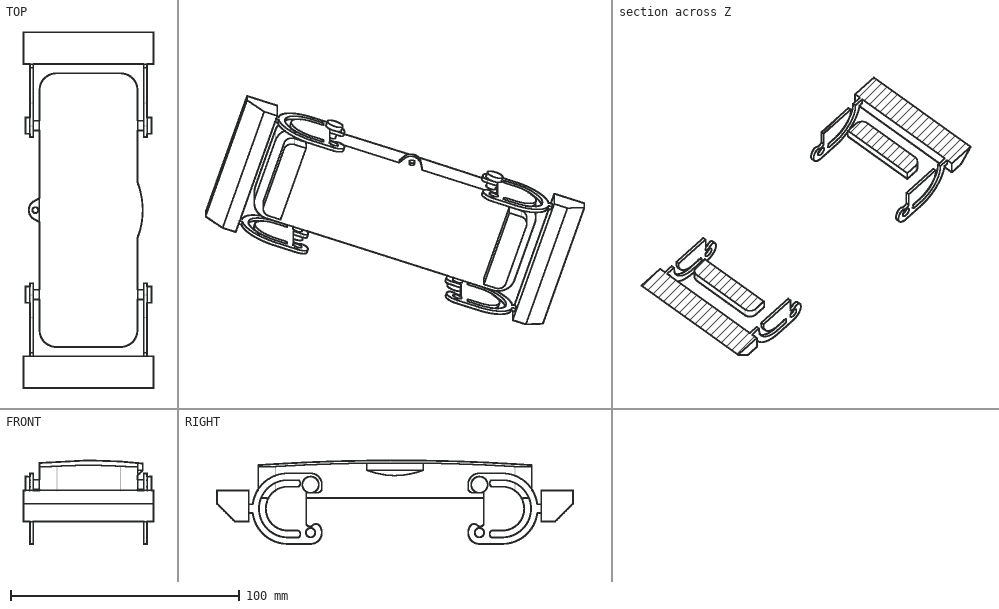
import cadquery as cq
import math

body_width = 43.0
body_length = 120.0
body_corner_radius = 7.5
crown_height = 16.62
crown_radius_x = 200.0
crown_radius_y = 857.0
crown_sweep_angle = 10.0
trim_allowance = 5.0
blank_height = crown_height + trim_allowance

root_overlap = 1.0

plug_inset = 4.0
plug_depth = 8.0
plug_inner_y = 47.0

bulge_radius = 34.0
bulge_reach = 2.3
bulge_chamfer_top = 12.2

eyelet_height = 3.0
eyelet_radius = 4.5
eyelet_center_x = -21.7
eyelet_flank_angle = 30.0
eyelet_hole_x = -23.3
eyelet_hole_radius = 1.25

lever_inner_x = 24.2
lever_thickness = 1.5
arch_center_y = 47.0
arch_center_z = -4.6
arch_radius = 15.5
slot_outer_radius = 12.55
slot_inner_radius = 9.65
slot_end_y = 41.6
slot_corner_radius = 1.0
throat_y = 38.8

pivot_y = 37.0
end_radius = 5.0
pivot_z = arch_center_z + arch_radius - end_radius
upper_end_bottom_z = 2.4
upper_end_fillet = 2.0
hook_z = arch_center_z - arch_radius + end_radius
hook_hole_radius = 2.0
hook_lobe_radius = 2.0
hook_lobe_angle = 38.0
notch_center_y = 37.3
notch_bottom_z = -12.35

shaft_radius = 2.2
head_radius = 3.6
head_outer_x = 27.7

bar_width = 57.0
bar_outer_y = 78.0
bar_inner_y = 64.0
bar_top_z = 3.4
bar_bottom_z = -10.3
bar_slope_start_z = -2.4
bar_bottom_outer_y = bar_outer_y - (bar_slope_start_z - bar_bottom_z)
neck_height = 4.0


def polar(center, radius, degrees):
    """Point at a radius and an angle from a centre, in the plane of the sketch."""
    angle = math.radians(degrees)
    return center[0] + radius * math.cos(angle), center[1] + radius * math.sin(angle)


def mirror_across_y(shape):
    """The shape together with its mirror image across the XZ plane."""
    return shape.union(shape.mirror("XZ"))


def make_bulge():
    """Segment of a chamfered disc that bows out of the +X side."""
    axis_x = body_width / 2 + bulge_reach - bulge_radius
    chamfer_bottom = bulge_chamfer_top - bulge_reach
    wall_radius = bulge_radius - bulge_reach
    profile = [
        (0, chamfer_bottom),
        (wall_radius, chamfer_bottom),
        (bulge_radius, bulge_chamfer_top),
        (bulge_radius, blank_height),
        (0, blank_height),
    ]
    disc = cq.Workplane("XZ").polyline(profile).close().revolve(360, (0, 0), (0, 1))
    disc = disc.translate((axis_x, 0, 0))
    outer_half = cq.Workplane("XY").box(body_width, body_length, blank_height, centered=(False, True, False))
    return disc.intersect(outer_half)


def make_crown():
    """Solid below the curved top: an arc across X, swept along a large arc across Y."""
    half_width = body_width / 2 + trim_allowance
    edge_z = crown_height - crown_radius_x + math.sqrt(crown_radius_x**2 - half_width**2)
    axis_z = crown_height - crown_radius_y
    base_z = -blank_height
    section = (
        cq.Workplane("XZ")
        .moveTo(-half_width, base_z)
        .lineTo(-half_width, edge_z)
        .threePointArc((0, crown_height), (half_width, edge_z))
        .lineTo(half_width, base_z)
        .close()
    )
    crown = section.revolve(crown_sweep_angle, (0, axis_z), (1, axis_z))
    return crown.rotate((0, 0, axis_z), (1, 0, axis_z), -crown_sweep_angle / 2)


def make_body():
    block = cq.Workplane("XY").rect(body_width, body_length).extrude(blank_height)
    block = block.edges("|Z").fillet(body_corner_radius)
    return block.union(make_bulge()).intersect(make_crown())


def make_plug():
    """Plug below the +Y end of the body."""
    plug_outer_y = body_length / 2 - plug_inset
    plug_width = body_width - 2 * plug_inset
    plug = (
        cq.Workplane("XY")
        .center(0, (plug_inner_y + plug_outer_y) / 2)
        .rect(plug_width, plug_outer_y - plug_inner_y)
        .extrude(-plug_depth)
    )
    return plug.edges("|Z and >Y").fillet(body_corner_radius - plug_inset)


def make_eyelet():
    center = (eyelet_center_x, 0)
    root_x = -body_width / 2 + root_overlap
    upper = polar(center, eyelet_radius, 90 + eyelet_flank_angle)
    root_y = upper[1] + (root_x - upper[0]) * math.tan(math.radians(eyelet_flank_angle))
    eyelet = (
        cq.Workplane("XY")
        .moveTo(root_x, root_y)
        .lineTo(*upper)
        .threePointArc(polar(center, eyelet_radius, 180), (upper[0], -upper[1]))
        .lineTo(root_x, -root_y)
        .close()
        .extrude(eyelet_height)
    )
    hole = cq.Workplane("XY").center(eyelet_hole_x, 0).circle(eyelet_hole_radius).extrude(eyelet_height)
    return eyelet.cut(hole)


def arch_outline(radius, end_y):
    """Half disc about the arch centre, extended by straight sides as far as end_y."""
    top_z = arch_center_z + radius
    bottom_z = arch_center_z - radius
    return (
        cq.Workplane("YZ")
        .moveTo(end_y, top_z)
        .lineTo(arch_center_y, top_z)
        .threePointArc((arch_center_y + radius, arch_center_z), (arch_center_y, bottom_z))
        .lineTo(end_y, bottom_z)
        .close()
    )


def make_lever_slot():
    outer = arch_outline(slot_outer_radius, slot_end_y).extrude(lever_thickness)
    inner = arch_outline(slot_inner_radius, slot_end_y).extrude(lever_thickness)
    return outer.cut(inner).edges("|X and <Y").fillet(slot_corner_radius)


def make_lever_outline():
    pivot = (pivot_y, pivot_z)
    hook = (pivot_y, hook_z)
    lobe_direction = 180 - hook_lobe_angle
    lobe = polar(hook, end_radius - hook_lobe_radius, lobe_direction)

    offset_y = notch_center_y - lobe[0]
    rise = notch_bottom_z - lobe[1]
    notch_radius = (offset_y**2 + rise**2 - hook_lobe_radius**2) / (2 * (hook_lobe_radius - rise))
    notch = (notch_center_y, notch_bottom_z + notch_radius)
    notch_angle = math.degrees(math.atan2(notch[1] - lobe[1], notch[0] - lobe[0]))
    throat_bottom_z = notch[1] - math.sqrt(notch_radius**2 - (throat_y - notch[0]) ** 2)

    upper_end_y = pivot_y - end_radius
    arch_top = (arch_center_y, arch_center_z + arch_radius)
    arch_bottom = (arch_center_y, arch_center_z - arch_radius)
    arch_tip = (arch_center_y + arch_radius, arch_center_z)
    fillet_center = (upper_end_y + upper_end_fillet, upper_end_bottom_z + upper_end_fillet)
    return (
        cq.Workplane("YZ")
        .moveTo(*arch_top)
        .lineTo(*polar(pivot, end_radius, 90))
        .threePointArc(polar(pivot, end_radius, 135), polar(pivot, end_radius, 180))
        .lineTo(*polar(fillet_center, upper_end_fillet, 180))
        .threePointArc(
            polar(fillet_center, upper_end_fillet, 225),
            polar(fillet_center, upper_end_fillet, 270),
        )
        .lineTo(throat_y, upper_end_bottom_z)
        .lineTo(throat_y, throat_bottom_z)
        .threePointArc((notch_center_y, notch_bottom_z), polar(lobe, hook_lobe_radius, notch_angle))
        .threePointArc(
            polar(lobe, hook_lobe_radius, (notch_angle + lobe_direction) / 2),
            polar(lobe, hook_lobe_radius, lobe_direction),
        )
        .threePointArc(
            polar(hook, end_radius, (lobe_direction + 270) / 2),
            polar(hook, end_radius, 270),
        )
        .lineTo(*arch_bottom)
        .threePointArc(arch_tip, arch_top)
        .close()
    )


def make_lever_plate():
    """Lever plate at the +Y end, with its neck to the bar, lying from X = 0 to its thickness."""
    plate = make_lever_outline().extrude(lever_thickness)
    hook_hole = cq.Workplane("YZ").center(pivot_y, hook_z).circle(hook_hole_radius).extrude(lever_thickness)
    neck = (
        cq.Workplane("YZ")
        .center((arch_center_y + bar_inner_y) / 2, arch_center_z)
        .rect(bar_inner_y - arch_center_y, neck_height)
        .extrude(lever_thickness)
    )
    return plate.union(neck).cut(make_lever_slot()).cut(hook_hole)


def make_pin():
    """Pivot pin on the +X side, rooted inside the body and headed outside the lever."""
    root_x = body_width / 2 - root_overlap
    lever_outer_x = lever_inner_x + lever_thickness
    axis = cq.Workplane("YZ").center(pivot_y, pivot_z)
    shaft = axis.workplane(offset=root_x).circle(shaft_radius).extrude(lever_outer_x - root_x)
    head = axis.workplane(offset=lever_outer_x).circle(head_radius).extrude(head_outer_x - lever_outer_x)
    return shaft.union(head)


def make_bar():
    profile = [
        (bar_inner_y, bar_top_z),
        (bar_outer_y, bar_top_z),
        (bar_outer_y, bar_slope_start_z),
        (bar_bottom_outer_y, bar_bottom_z),
        (bar_inner_y, bar_bottom_z),
    ]
    return cq.Workplane("YZ").polyline(profile).close().extrude(bar_width / 2, both=True)


def make_locking_lever():
    """Complete lever at the +Y end: two plates, two pins and the bar between them."""
    side = make_lever_plate().translate((lever_inner_x, 0, 0)).union(make_pin())
    return make_bar().union(side).union(side.mirror("YZ"))


end_parts = mirror_across_y(make_plug().union(make_locking_lever()))
result = make_body().union(make_eyelet()).union(end_parts)